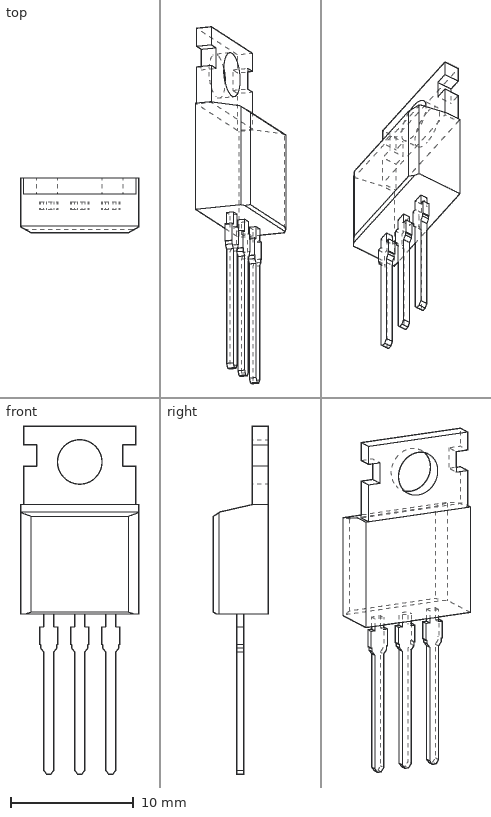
import cadquery as cq

total_height = 28.42

body_width = 9.65
body_depth = 4.5
body_bottom = 13.07
body_top = 22.03
ridge_depth = 3.92
ridge_height = 21.43
side_bevel_depth = 0.48
face_width = 7.95
face_bottom = 13.25
face_top = 21.05
lower_bevel_depth = 0.28

tab_width = 9.15
tab_thickness = 1.3
hole_diameter = 3.6
hole_height = 25.5
notch_depth = 1.05
notch_bottom = 25.15
notch_top = 26.89

lead_count = 3
lead_pitch = 2.53
lead_thickness = 0.6
lead_rear = 2.0
lead_width = 0.82
shoulder_width = 1.5
shoulder_top = 12.05
shoulder_bottom = 10.6
step_width = 1.34
step_bottom = 10.32
taper_bottom = 9.98
tip_width = 0.35
tip_height = 0.35


def make_package():
    """Package with a sloped top and four bevels around its front face."""
    side_profile = [
        (0, body_bottom),
        (0, body_top),
        (-tab_thickness, body_top),
        (-ridge_depth, ridge_height),
        (-body_depth, face_top),
        (-body_depth, face_bottom),
        (-body_depth + lower_bevel_depth, body_bottom),
    ]
    package = cq.Workplane("YZ").polyline(side_profile).close().extrude(body_width / 2, both=True)

    bevel_start = -body_depth + side_bevel_depth
    plan_outline = [
        (-body_width / 2, 0),
        (body_width / 2, 0),
        (body_width / 2, bevel_start),
        (face_width / 2, -body_depth),
        (-face_width / 2, -body_depth),
        (-body_width / 2, bevel_start),
    ]
    plan_prism = cq.Workplane("XY").polyline(plan_outline).close().extrude(total_height)
    return package.intersect(plan_prism)


def make_tab():
    """Flat tab on top of the package, with a screw hole and two side notches."""
    tab_height = total_height - body_top
    tab = cq.Workplane("XY").box(tab_width, tab_thickness, tab_height, centered=(True, False, False))
    tab = tab.translate((0, -tab_thickness, body_top))

    hole = cq.Workplane("XZ").center(0, hole_height).circle(hole_diameter / 2).extrude(tab_thickness)
    tab = tab.cut(hole)

    notch_middle = (notch_bottom + notch_top) / 2
    for side in (-1, 1):
        notch = (
            cq.Workplane("XZ")
            .center(side * tab_width / 2, notch_middle)
            .rect(2 * notch_depth, notch_top - notch_bottom)
            .extrude(tab_thickness)
        )
        tab = tab.cut(notch)
    return tab


def make_lead(x_position):
    """Flat lead with a wide shoulder, a stepped taper below it and a pointed tip."""
    right_edge = [
        (lead_width / 2, body_bottom),
        (lead_width / 2, shoulder_top),
        (shoulder_width / 2, shoulder_top),
        (shoulder_width / 2, shoulder_bottom),
        (step_width / 2, shoulder_bottom),
        (step_width / 2, step_bottom),
        (lead_width / 2, taper_bottom),
        (lead_width / 2, tip_height),
        (tip_width / 2, 0),
    ]
    left_edge = [(-x, z) for x, z in reversed(right_edge)]
    lead = cq.Workplane("XZ").polyline(right_edge + left_edge).close().extrude(lead_thickness)
    return lead.translate((x_position, -lead_rear, 0))


package = make_package()
tab = make_tab()

leads = []
for index in range(lead_count):
    lead_x = (index - (lead_count - 1) / 2) * lead_pitch
    leads.append(make_lead(lead_x).val())

result = cq.Compound.makeCompound([package.val(), tab.val(), *leads])